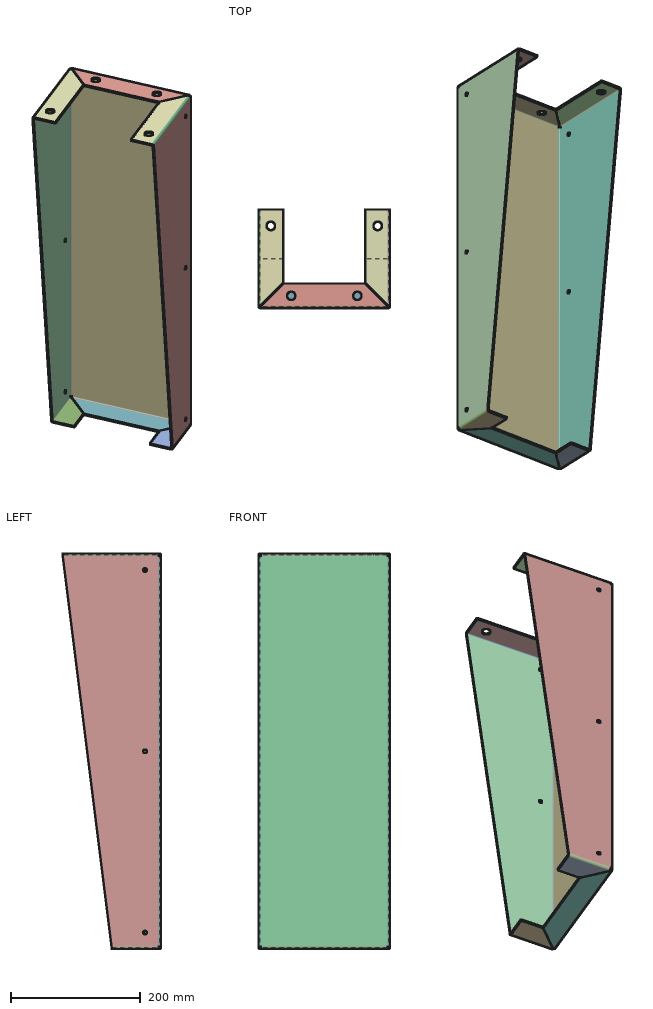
import cadquery as cq

width = 203.0
height = 609.5
top_depth = 152.5
bottom_depth = top_depth / 2

thickness = 2.7
bend_radius = 3.9
flange_width = 38.5
miter_gap = 0.35

mount_hole_diameter = 13.0
front_hole_from_side = 50.5
pin_hole_diameter = 5.1
side_hole_from_back = 25.5
pin_hole_from_front = 25.0
pin_hole_from_end = 25.5

half_width = width / 2
cut_margin = 6.0


def tapered_block(inset, radius):
    """Block inset from the front, sides, top and bottom, with rounded edges everywhere but at the back."""
    back_slope = (top_depth - bottom_depth) / height
    low_z = inset
    high_z = height - inset
    profile = [
        (inset, low_z),
        (bottom_depth + back_slope * low_z, low_z),
        (bottom_depth + back_slope * high_z, high_z),
        (inset, high_z),
    ]
    half_length = half_width - inset
    block = cq.Workplane("YZ").polyline(profile).close().extrude(half_length, both=True)
    return block.edges("<Y or |Y").fillet(radius)


def channel():
    """Thin front and side walls with flanges turned inward at the top and bottom."""
    inner_radius = bend_radius - thickness
    outer = tapered_block(0, bend_radius)
    cavity = tapered_block(thickness, inner_radius)
    return outer.cut(cavity)


def flange_window():
    """Opening between the flanges, running through top and bottom and out at the back."""
    return (
        cq.Workplane("XY")
        .box(width - 2 * flange_width, top_depth, height + 2 * cut_margin, centered=(True, False, False))
        .translate((0, flange_width, -cut_margin))
    )


def corner_cutouts():
    """Square reliefs where three bends meet, with narrow 45 degree gaps between the front and side flanges."""
    half_gap = miter_gap / 2**0.5
    cutouts = cq.Workplane("XY")
    for side in (-1, 1):
        outer_x = side * half_width
        bend_x = side * (half_width - bend_radius)
        inner_x = side * (half_width - flange_width)
        outline = [
            (outer_x, 0),
            (bend_x, 0),
            (bend_x, bend_radius - half_gap),
            (inner_x, flange_width - half_gap),
            (inner_x, flange_width + half_gap),
            (bend_x, bend_radius + half_gap),
            (bend_x, bend_radius),
            (outer_x, bend_radius),
        ]
        for level in (0, height - bend_radius):
            cutout = cq.Workplane("XY", origin=(0, 0, level)).polyline(outline).close().extrude(bend_radius)
            cutouts = cutouts.add(cutout)
    return cutouts.combine()


def mounting_holes():
    """Two holes in the top front flange and one in each top side flange."""
    front_x = half_width - front_hole_from_side
    side_x = half_width - flange_width / 2
    front_y = flange_width / 2
    side_y = top_depth - side_hole_from_back
    centers = [(-front_x, front_y), (front_x, front_y), (-side_x, side_y), (side_x, side_y)]
    return (
        cq.Workplane("XY", origin=(0, 0, height / 2))
        .pushPoints(centers)
        .circle(mount_hole_diameter / 2)
        .extrude(height)
    )


def pin_holes():
    """Column of three small holes through both side walls."""
    levels = (pin_hole_from_end, height / 2, height - pin_hole_from_end)
    return (
        cq.Workplane("YZ")
        .pushPoints([(pin_hole_from_front, z) for z in levels])
        .circle(pin_hole_diameter / 2)
        .extrude(width, both=True)
    )


result = channel()
for cutter in (flange_window(), corner_cutouts(), mounting_holes(), pin_holes()):
    result = result.cut(cutter)